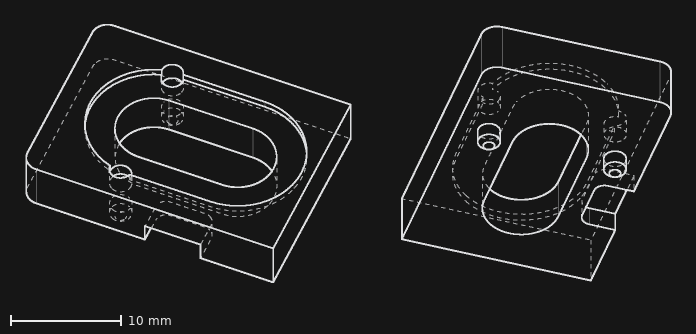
import cadquery as cq

plate_length = 24.8
plate_width = 18.0
plate_height = 4.98
corner_radius = 1.5

opening_center_x = 13.37
opening_length = 15.3
opening_width = 7.05
recess_margin = 2.73
recess_depth = 0.72

pin_x = 8.5
pin_offset_y = 6.0
pin_diameter = 2.03
pin_length = 1.8
pin_chamfer = 0.5
socket_depth = 1.98

notch_center_x = 14.9
notch_width = 5.45
notch_height = 1.98
notch_depth = 3.47
notch_corner_radius = 1.0


def make_plate():
    """Rectangular plate with both corners on the -X side rounded."""
    plate = cq.Workplane("XY").box(
        plate_length, plate_width, plate_height, centered=(False, True, False)
    )
    return plate.edges("|Z and <X").fillet(corner_radius)


def oblong_cutter(margin, depth):
    """Oblong sunk from the top face, larger than the opening by margin all round."""
    return (
        cq.Workplane("XY", origin=(opening_center_x, 0, plate_height - depth))
        .slot2D(opening_length + 2 * margin, opening_width + 2 * margin)
        .extrude(depth)
    )


def pin_pair(base_z, height):
    """Two cylinders at the pin positions, rising from base_z."""
    return (
        cq.Workplane("XY", origin=(pin_x, 0, base_z))
        .pushPoints([(0, -pin_offset_y), (0, pin_offset_y)])
        .circle(pin_diameter / 2)
        .extrude(height)
    )


def notch_cutter():
    """Block open to the -Y side and underside, with rounded inner corners."""
    notch = cq.Workplane("XY", origin=(notch_center_x, -plate_width / 2, 0)).box(
        notch_width, notch_depth, notch_height, centered=(True, False, False)
    )
    return notch.edges("|Z and >Y").fillet(notch_corner_radius)


pins = pin_pair(-pin_length, pin_length).faces("<Z").chamfer(pin_chamfer)
sockets = pin_pair(plate_height - socket_depth, socket_depth)

result = (
    make_plate()
    .cut(oblong_cutter(0, plate_height))
    .cut(oblong_cutter(recess_margin, recess_depth))
    .cut(sockets)
    .cut(notch_cutter())
    .union(pins)
)